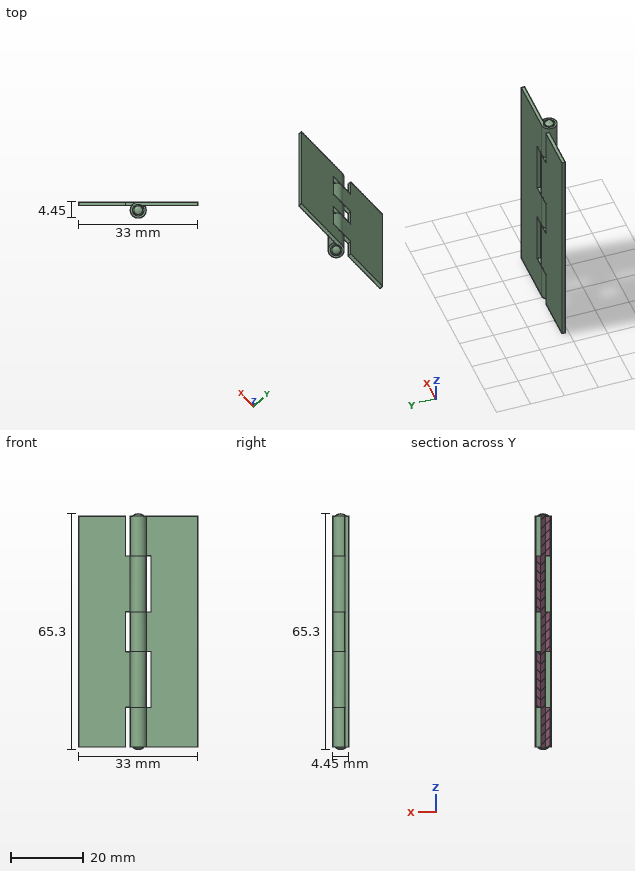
import cadquery as cq
import math

open_width = 33.0
hinge_height = 64.0
sheet_thickness = 1.0
notch_half_width = 3.5

pin_radius = 1.225
head_radius = 1.6
head_height = 0.65

knuckle_radius = pin_radius + sheet_thickness
curl_gap = 0.2

right_knuckle_length = 11.0
right_knuckle_count = 3
left_knuckle_count = right_knuckle_count - 1
left_knuckle_length = (
    hinge_height - right_knuckle_count * right_knuckle_length
) / left_knuckle_count
knuckle_pitch = right_knuckle_length + left_knuckle_length

sheet_front = knuckle_radius - sheet_thickness
leaf_width = open_width / 2
top = hinge_height / 2
bottom = -top

right_knuckle_bottoms = [bottom + i * knuckle_pitch for i in range(right_knuckle_count)]
left_knuckle_bottoms = [
    bottom + right_knuckle_length + i * knuckle_pitch for i in range(left_knuckle_count)
]


def block(x_start, x_end, y_start, y_end, length):
    """Rectangular block standing on Z = 0."""
    return (
        cq.Workplane("XY")
        .box(x_end - x_start, y_end - y_start, length, centered=False)
        .translate((x_start, y_start, 0))
    )


def make_knuckle(length):
    """Rolled barrel with the flat tab that joins it to a leaf on the +X side."""
    barrel = cq.Workplane("XY").circle(knuckle_radius).extrude(length)
    tab = block(0, notch_half_width, sheet_front, knuckle_radius, length)
    bore = cq.Workplane("XY").circle(pin_radius).extrude(length)
    curl_opening = block(0, knuckle_radius, sheet_front - curl_gap, sheet_front, length)
    return barrel.union(tab).cut(bore).cut(curl_opening)


def make_leaf(knuckle_bottoms, knuckle_length):
    """Leaf on the +X side: a flat plate with one knuckle at each given height."""
    plate = block(notch_half_width, leaf_width, sheet_front, knuckle_radius, hinge_height)
    leaf = plate.translate((0, 0, bottom))
    for z_bottom in knuckle_bottoms:
        leaf = leaf.union(make_knuckle(knuckle_length).translate((0, 0, z_bottom)))
    return leaf


def make_pin():
    """Round pin with a domed, riveted head seated on each end of the knuckles."""
    tip = top + head_height
    dome_radius = (head_radius**2 + head_height**2) / (2 * head_height)
    half_angle = math.asin(head_radius / dome_radius) / 2
    arc_middle_x = dome_radius * math.sin(half_angle)
    arc_middle_z = tip - dome_radius * (1 - math.cos(half_angle))
    return (
        cq.Workplane("XZ")
        .moveTo(0, -tip)
        .threePointArc((arc_middle_x, -arc_middle_z), (head_radius, bottom))
        .lineTo(pin_radius, bottom)
        .lineTo(pin_radius, top)
        .lineTo(head_radius, top)
        .threePointArc((arc_middle_x, arc_middle_z), (0, tip))
        .close()
        .revolve(360, (0, 0, 0), (0, 1, 0))
    )


right_leaf = make_leaf(right_knuckle_bottoms, right_knuckle_length)
left_leaf = make_leaf(left_knuckle_bottoms, left_knuckle_length).mirror("YZ")
pin = make_pin()

result = cq.Compound.makeCompound([right_leaf.val(), left_leaf.val(), pin.val()])